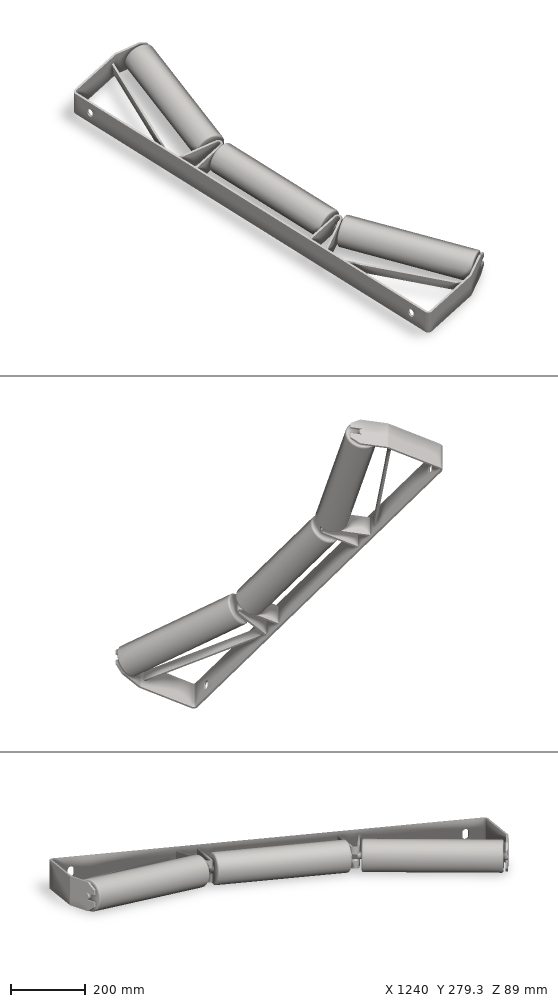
import cadquery as cq
import math

FRAME_LENGTH = 1240.0
STRIP_WIDTH = 80.0
BRACKET_WIDTH = 60.0
SHEET = 6.0
BEND_RADIUS = 12.0
TROUGH_ANGLE = 20.0
KINK_HEIGHT = 179.0
TILTED_LEG_LENGTH = 102.0
LEG_CORNER_LENGTH = 26.0
LEG_CORNER_DEPTH = 16.0

ROLLER_DIAMETER = 89.0
ROLLER_LENGTH = 380.0
ROLLER_EDGE_RADIUS = 5.0
SHAFT_DIAMETER = 20.0
END_GAP = 5.6
CENTRE_AXIS_HEIGHT = 102.0
SIDE_AXIS_ON_LEG = 68.0

STRUT_WIDTH = 30.0
STRUT_TOP_HEIGHT = 164.0
STRUT_FOOT_X = 284.0
STRUT_TRIM = 12.0

MOUNT_SPACING = 1116.0
MOUNT_SLOT_WIDTH = 19.0
MOUNT_SLOT_HEIGHT = 29.0

half_length = FRAME_LENGTH / 2
shaft_length = ROLLER_LENGTH + 2 * (END_GAP + SHEET)
bracket_face_x = ROLLER_LENGTH / 2 + END_GAP

tilt = math.radians(TROUGH_ANGLE)
leg_dir = cq.Vector(math.sin(tilt), math.cos(tilt))
axis_dir = cq.Vector(math.cos(tilt), -math.sin(tilt))

kink = cq.Vector(-half_length, KINK_HEIGHT)
leg_tip = kink + leg_dir * TILTED_LEG_LENGTH
side_shaft_start = kink + leg_dir * SIDE_AXIS_ON_LEG
side_centre = side_shaft_start + axis_dir * (shaft_length / 2)


def mirrored(body):
    return body.mirror("YZ")


def bent_sheet(face, bends, width):
    """Sheet standing along Z. Its thickness lies to the left of the face polyline."""
    normals = []
    for start, end in zip(face, face[1:]):
        along = (end - start).normalized()
        normals.append(cq.Vector(-along.y, along.x))
    back = [face[0] + normals[0] * SHEET]
    for corner, before, after in zip(face[1:], normals, normals[1:]):
        back.append(corner + (before + after) * (SHEET / (1 + before.dot(after))))
    back.append(face[-1] + normals[-1] * SHEET)

    outline = [point.toTuple()[:2] for point in face + back[::-1]]
    sheet = cq.Workplane("XY").polyline(outline).close().extrude(width / 2, both=True)
    for index in bends:
        for point, radius in ((face[index], BEND_RADIUS), (back[index], BEND_RADIUS - SHEET)):
            sheet = sheet.edges(cq.selectors.NearestToPointSelector(point.toTuple())).fillet(radius)
    return sheet


def main_strip():
    """Long base with an upright leg at each end, the legs tilting inward above their kinks."""
    left = [leg_tip, kink, cq.Vector(-half_length, 0)]
    right = [cq.Vector(-point.x, point.y) for point in reversed(left)]
    return bent_sheet(left + right, bends=(1, 2, 3, 4), width=STRIP_WIDTH)


def bracket():
    """Inverted V of sheet: one leg square to the side roller, one square to the centre roller."""
    face_start = side_shaft_start + axis_dir * (shaft_length - SHEET)
    foot = face_start - leg_dir * ((face_start.y - SHEET) / leg_dir.y)
    peak = foot + leg_dir * ((-bracket_face_x - foot.x) / leg_dir.x)
    return bent_sheet([cq.Vector(-bracket_face_x, SHEET), peak, foot], bends=(1,), width=BRACKET_WIDTH)


def strut():
    """Flat bar from the end leg down to the base, trimmed flush with their inner faces."""
    top = cq.Vector(-half_length + SHEET, STRUT_TOP_HEIGHT)
    foot = cq.Vector(-STRUT_FOOT_X, SHEET)
    run = foot - top
    slope = math.degrees(math.atan2(run.y, run.x))
    bar = cq.Workplane("XY").box(run.Length + 2 * STRUT_TRIM, SHEET, STRUT_WIDTH)
    bar = bar.rotate((0, 0, 0), (0, 0, 1), slope).translate((top + foot) * 0.5)
    inside = cq.Workplane("XY").box(half_length, KINK_HEIGHT, STRIP_WIDTH, centered=(False, False, True))
    return bar.intersect(inside.translate((-half_length + SHEET, SHEET, 0)))


def leg_corners():
    """Waste at the two chamfered corners of the left tilted leg."""
    edge = STRIP_WIDTH / 2
    corner = [(0, edge), (-LEG_CORNER_LENGTH, edge), (0, edge - LEG_CORNER_DEPTH)]
    waste = cq.Workplane("YZ").polyline(corner).close().extrude(2 * SHEET, both=True)
    waste = waste.union(waste.mirror("XY"))
    return waste.rotate((0, 0, 0), (0, 0, 1), -TROUGH_ANGLE).translate(leg_tip)


def cylinder(diameter, length):
    """Cylinder lying along X and centred on the origin."""
    return cq.Workplane("YZ").workplane(offset=-length / 2).circle(diameter / 2).extrude(length)


def roller():
    """Roller with its shaft, lying along X and centred on the origin."""
    drum = cylinder(ROLLER_DIAMETER, ROLLER_LENGTH).faces("<X or >X").edges().fillet(ROLLER_EDGE_RADIUS)
    return drum.union(cylinder(SHAFT_DIAMETER, shaft_length))


def shaft_slots():
    """Open slots for one shaft, lying like the roller and running out towards +Y."""
    length = shaft_length + 2 * (BEND_RADIUS - SHEET)
    opening = cq.Workplane("XY").box(length, ROLLER_DIAMETER, SHAFT_DIAMETER, centered=(True, False, True))
    return cylinder(SHAFT_DIAMETER, length).union(opening)


def at_stations(shape):
    """The shape at the left, centre and right roller positions."""
    left = shape.rotate((0, 0, 0), (0, 0, 1), -TROUGH_ANGLE).translate(side_centre)
    return [left, shape.translate((0, CENTRE_AXIS_HEIGHT, 0)), mirrored(left)]


def mount_slots():
    return (
        cq.Workplane("XZ").pushPoints([(-MOUNT_SPACING / 2, 0), (MOUNT_SPACING / 2, 0)])
        .slot2D(MOUNT_SLOT_HEIGHT, MOUNT_SLOT_WIDTH, 90).extrude(-SHEET)
    )


def build_frame():
    frame = main_strip().cut(mount_slots())
    for part in (bracket(), strut()):
        frame = frame.union(part).union(mirrored(part))
    frame = frame.cut(leg_corners()).cut(mirrored(leg_corners()))
    for slots in at_stations(shaft_slots()):
        frame = frame.cut(slots)
    return frame


frame = build_frame()
rollers = at_stations(roller())

result = cq.Compound.makeCompound([frame.val(), *[body.val() for body in rollers]])